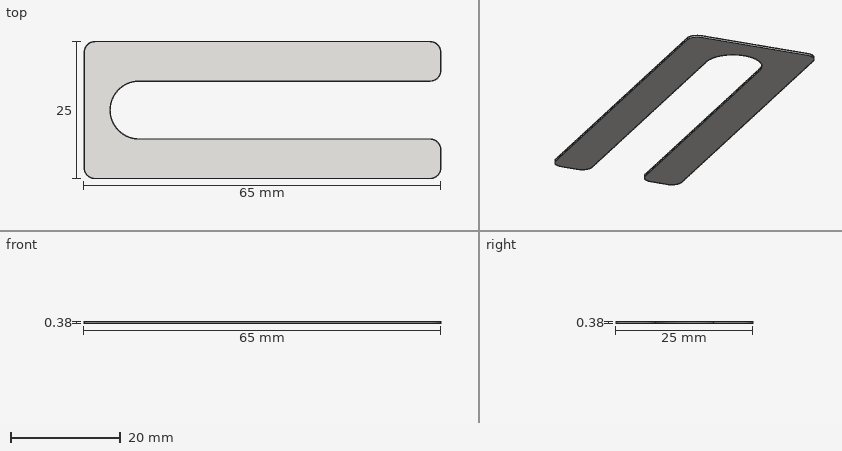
import cadquery as cq

length = 65.0
width = 25.0
thickness = 0.38
slot_width = 10.5
web_width = 4.75
corner_radius = 2.0

end_x = length / 2
side_y = width / 2
slot_radius = slot_width / 2
slot_bottom_x = -end_x + web_width
slot_center_x = slot_bottom_x + slot_radius


def make_fork():
    """U-shaped plate: two prongs along +X joined by a web at the -X end."""
    return (
        cq.Workplane("XY")
        .workplane(offset=-thickness / 2)
        .moveTo(-end_x, -side_y)
        .lineTo(end_x, -side_y)
        .lineTo(end_x, -slot_radius)
        .lineTo(slot_center_x, -slot_radius)
        .threePointArc((slot_bottom_x, 0), (slot_center_x, slot_radius))
        .lineTo(end_x, slot_radius)
        .lineTo(end_x, side_y)
        .lineTo(-end_x, side_y)
        .close()
        .extrude(thickness)
    )


def round_corners(plate):
    """Round the two outer web corners and all four prong tip corners."""
    return plate.edges("|Z and (<X or >X)").fillet(corner_radius)


result = round_corners(make_fork())